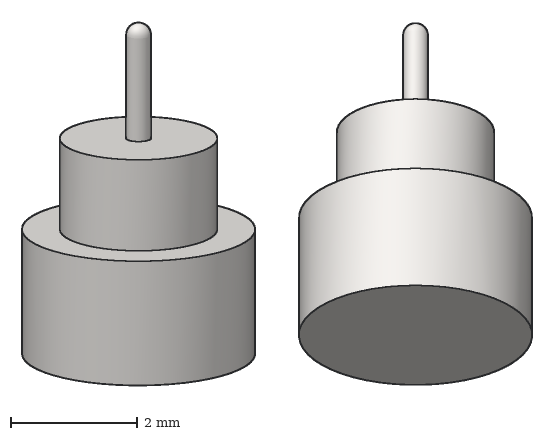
import cadquery as cq

total_height = 5.45
body_diameter = 3.7
body_height = 2.05
neck_diameter = 2.5
neck_height = 1.5
insulator_diameter = 1.95
pin_diameter = 0.4

pin_radius = pin_diameter / 2
shoulder_height = body_height + neck_height
pin_length = total_height - shoulder_height


def make_shell():
    """Stepped outer shell with a through bore for the insulator."""
    body = cq.Workplane("XY").circle(body_diameter / 2).extrude(body_height)
    neck = cq.Workplane("XY").circle(neck_diameter / 2).extrude(shoulder_height)
    bore = cq.Workplane("XY").circle(insulator_diameter / 2).extrude(shoulder_height)
    return body.union(neck).cut(bore)


def make_core():
    """Insulator disc, flush with the neck, carrying the round-ended pin."""
    insulator = cq.Workplane("XY").circle(insulator_diameter / 2).extrude(shoulder_height)
    shank_length = pin_length - pin_radius
    shank = (
        cq.Workplane("XY")
        .workplane(offset=shoulder_height)
        .circle(pin_radius)
        .extrude(shank_length)
    )
    tip_center = (0, 0, shoulder_height + shank_length)
    tip = cq.Workplane("XY").sphere(pin_radius).translate(tip_center)
    return insulator.union(shank).union(tip)


result = make_shell().union(make_core(), clean=False)